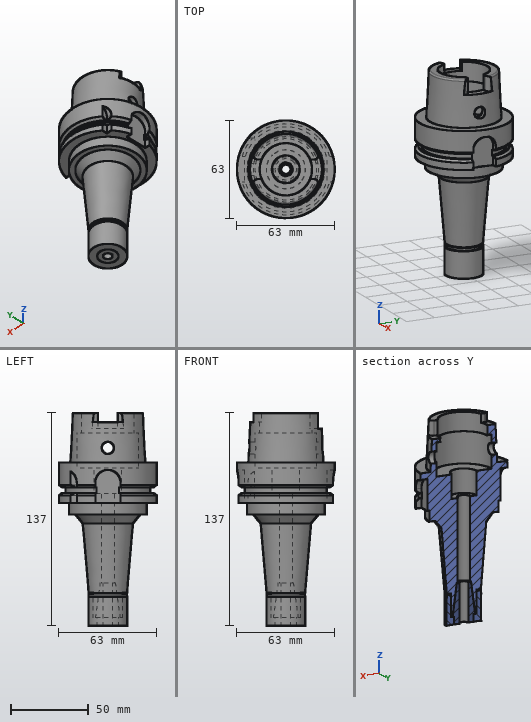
import cadquery as cq
import math

total_height = 137.0
nut_height = 20.7
nut_gap = 0.5
shank_bottom = nut_height + nut_gap
shank_top = 65.9
cone_top = 71.5
flange_bottom = 78.9
flange_top = 105.1

taper_tip_radius = 22.7
taper_base_radius = 24.2
rim_round = 1.1
flange_radius = 31.5
hub_radius = 25.1
cone_top_radius = 21.0
shank_top_radius = 16.3
shank_bottom_radius = 12.5
neck_radius = 9.5

groove_radius = 27.4
groove_flank_radius = 29.3
groove_bottom = 85.5
groove_top = 89.0
groove_flank_height = 1.6

mouth_radius = 16.9
mouth_depth = 13.0
cavity_radius = 19.7
cavity_floor = 101.4
coolant_radius = 8.9
coolant_floor = 85.0
passage_radius = 4.2

drive_slot_width = 12.6
drive_slot_round = 2.6
drive_key_reach = 20.8
left_slot_depth = 6.0
right_slot_depth = 10.1

cross_hole_radius = 3.8
cross_hole_z = 114.4
cutter_radius = 8.1
slot_arch_z = 92.2
flange_slot_floor = 26.5
notch_floor = 20.3
notch_wall = 20.0

nut_radius = 12.6
nut_collar_radius = 12.5
nut_collar_height = 1.8
nut_collar_chamfer = 0.4
nut_nose_height = 5.5
nut_nose_radius = 6.8

collet_top = 27.4
collet_front_radius = 8.0
collet_tail_radius = 5.0
collet_bore_radius = 3.0


def turned(points):
    """Full revolution about Z of a closed (radius, height) outline."""
    return cq.Workplane("XZ").polyline(points).close().revolve(360, (0, 0, 0), (0, 1, 0))


def disc(radius, bottom, top):
    """Plain cylinder on the Z axis between two heights."""
    return cq.Workplane("XY").workplane(offset=bottom).circle(radius).extrude(top - bottom)


def holder_blank():
    """Outside of the holder: rounded rim, taper, flange, hub, shank and neck."""
    rim_start = total_height - rim_round
    rim_inset = rim_round * (1 - math.sqrt(0.5))
    rim_middle = (taper_tip_radius - rim_inset, total_height - rim_inset)
    outline = (
        cq.Workplane("XZ")
        .moveTo(0, total_height)
        .lineTo(taper_tip_radius - rim_round, total_height)
        .threePointArc(rim_middle, (taper_tip_radius, rim_start))
        .lineTo(taper_base_radius, flange_top)
        .lineTo(flange_radius, flange_top)
        .lineTo(flange_radius, groove_top + groove_flank_height)
        .lineTo(groove_flank_radius, groove_top)
        .lineTo(groove_radius, groove_top)
        .lineTo(groove_radius, groove_bottom)
        .lineTo(groove_flank_radius, groove_bottom)
        .lineTo(flange_radius, groove_bottom - groove_flank_height)
        .lineTo(flange_radius, flange_bottom)
        .lineTo(hub_radius, flange_bottom)
        .lineTo(hub_radius, cone_top)
        .lineTo(cone_top_radius, cone_top)
        .lineTo(shank_top_radius, shank_top)
        .lineTo(shank_bottom_radius, shank_bottom)
        .lineTo(neck_radius, shank_bottom)
        .lineTo(neck_radius, nut_nose_height)
        .lineTo(0, nut_nose_height)
        .close()
    )
    return outline.revolve(360, (0, 0, 0), (0, 1, 0))


def holder_bore():
    """Stepped bore from the rim down to the tapered collet seat."""
    lip = total_height - mouth_depth
    return turned([
        (0, total_height),
        (mouth_radius, total_height),
        (mouth_radius, lip),
        (cavity_radius, lip),
        (cavity_radius, cavity_floor),
        (coolant_radius, cavity_floor),
        (coolant_radius, coolant_floor),
        (passage_radius, coolant_floor),
        (passage_radius, collet_top),
        (collet_tail_radius, collet_top),
        (collet_front_radius, nut_nose_height),
        (0, nut_nose_height),
    ])


def drive_slot(side, depth):
    """Slot through the rim on one X side (side = 1 or -1) with rounded outer corners."""
    half = drive_slot_width / 2
    mouth_half = half + drive_slot_round
    bend = drive_slot_round * math.sqrt(0.5)
    arc_x = drive_key_reach - drive_slot_round
    outer_x = flange_radius
    outer_half = drive_slot_width
    outline = (
        cq.Workplane("XY")
        .workplane(offset=total_height - depth)
        .moveTo(0, -half)
        .lineTo(side * arc_x, -half)
        .threePointArc((side * (arc_x + bend), bend - mouth_half), (side * drive_key_reach, -mouth_half))
        .lineTo(side * drive_key_reach, -outer_half)
        .lineTo(side * outer_x, -outer_half)
        .lineTo(side * outer_x, outer_half)
        .lineTo(side * drive_key_reach, outer_half)
        .lineTo(side * drive_key_reach, mouth_half)
        .threePointArc((side * (arc_x + bend), mouth_half - bend), (side * arc_x, half))
        .lineTo(0, half)
        .close()
    )
    return outline.extrude(depth)


def arched_slot(side, center_y, floor):
    """Round-topped slot cut into the flange from one X side, open at the flange bottom."""
    profile = (
        cq.Workplane("YZ")
        .workplane(offset=side * floor)
        .moveTo(center_y - cutter_radius, flange_bottom)
        .lineTo(center_y - cutter_radius, slot_arch_z)
        .threePointArc((center_y, slot_arch_z + cutter_radius), (center_y + cutter_radius, slot_arch_z))
        .lineTo(center_y + cutter_radius, flange_bottom)
        .close()
    )
    return profile.extrude(side * (flange_radius - floor))


def cross_hole():
    """Round hole through both walls of the taper, along X."""
    circle = cq.Workplane("YZ").center(0, cross_hole_z).circle(cross_hole_radius)
    return circle.extrude(flange_radius, both=True)


def make_holder():
    body = holder_blank().cut(holder_bore())
    for side, depth in ((-1, left_slot_depth), (1, right_slot_depth)):
        body = body.cut(drive_slot(side, depth))
        body = body.cut(arched_slot(side, 0, flange_slot_floor))
    body = body.cut(arched_slot(-1, notch_wall + cutter_radius, notch_floor))
    return body.cut(cross_hole())


def make_nut():
    """Clamping nut with a slimmer collar at its upper end."""
    collar_bottom = nut_height - nut_collar_height
    body = turned([
        (0, 0),
        (nut_radius, 0),
        (nut_radius, collar_bottom - nut_collar_chamfer),
        (nut_collar_radius, collar_bottom),
        (nut_collar_radius, nut_height),
        (0, nut_height),
    ])
    body = body.cut(disc(neck_radius, nut_nose_height, nut_height))
    return body.cut(disc(nut_nose_radius, 0, nut_nose_height))


def make_collet():
    """Tapered collet with a straight nose that fills the nut opening."""
    return turned([
        (collet_bore_radius, 0),
        (nut_nose_radius, 0),
        (nut_nose_radius, nut_nose_height),
        (collet_front_radius, nut_nose_height),
        (collet_tail_radius, collet_top),
        (collet_bore_radius, collet_top),
    ])


holder = make_holder()
nut = make_nut()
collet = make_collet()

result = cq.Compound.makeCompound([holder.val(), nut.val(), collet.val()])